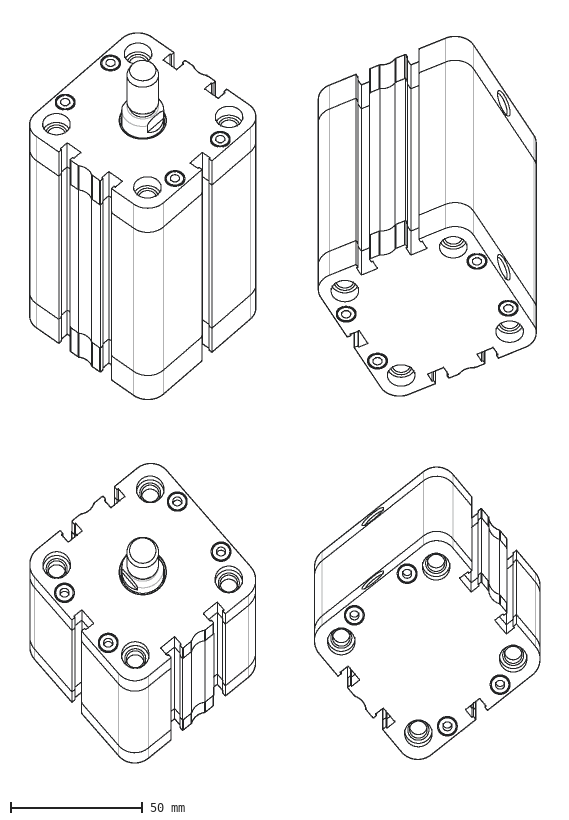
import cadquery as cq
import math

side = 65.5
half_side = side / 2
corner_radius = 8.0
total_height = 145.0
rod_reach = 30.0
cap_height = 14.5
body_height = total_height - rod_reach
barrel_height = body_height - 2 * cap_height

slot_offset = 10.6
slot_mouth = 5.7
slot_lip = 1.6
slot_width = 7.0
slot_depth = 5.5

groove_width = 6.5
groove_depth = 1.0

bevel_width = 0.5
bevel_depth = 0.1

mount_offset = 23.2
mount_counterbore = 10.5
mount_counterbore_depth = 5.4
mount_countersink = 8.0
mount_hole = 6.7
mount_hole_depth = 11.6

screw_x = 28.0
screw_y = 12.9
screw_recess = 7.5
screw_head = 6.7
screw_groove_depth = 0.5
screw_socket = 3.5
screw_socket_depth = 4.4

port_distance = 8.0
port_mouth = 10.5
port_hole = 8.7
port_depth = 8.7
passage_hole = 3.5
passage_drop = 2.0
passage_length = 4.4

seat_mouth = 18.0
seat_diameter = 17.7
seat_depth = 0.5
clearance_diameter = 16.5
clearance_depth = 2.9

rod_diameter = 16.0
shoulder_radius = 2.0
thread_diameter = 12.0
thread_length = 18.8
tip_diameter = 10.0
tip_chamfer_height = 2.6
neck_diameter = 10.0
neck_length = 2.9
neck_cone_diameter = 10.7
neck_cone_height = 0.9
flats_width = 13.0
flats_bottom = 2.5
flats_runout = 1.2

slot_positions = [-slot_offset, slot_offset]
mount_positions = [(x, y) for x in (-mount_offset, mount_offset) for y in (-mount_offset, mount_offset)]
screw_positions = [(x, y) for x in (-screw_x, screw_x) for y in (-screw_y, screw_y)]


def turn(shape, angle):
    """Shape rotated about the Z axis."""
    return shape.rotate((0, 0, 0), (0, 0, 1), angle)


def revolve_about_z(outline):
    """Solid of revolution from (radius, z) points."""
    return cq.Workplane("XZ").polyline(outline).close().revolve(360, (0, 0, 0), (0, 1, 0))


def slot_cutter(height):
    """T-slot that opens in the +Y face."""
    mouth, pocket = slot_mouth / 2, slot_width / 2
    floor, lip = half_side - slot_depth, half_side - slot_lip
    outline = [
        (-mouth, half_side), (-mouth, lip), (-pocket, lip), (-pocket, floor),
        (pocket, floor), (pocket, lip), (mouth, lip), (mouth, half_side),
    ]
    return cq.Workplane("XY").polyline(outline).close().extrude(height)


def groove_cutter(height):
    """Shallow arc groove in the middle of the +Y face."""
    half_width = groove_width / 2
    return (
        cq.Workplane("XY")
        .moveTo(-half_width, half_side)
        .threePointArc((0, half_side - groove_depth), (half_width, half_side))
        .close()
        .extrude(height)
    )


def profile_block(height):
    """Rounded square block with the slots and grooves of the body profile."""
    block = cq.Workplane("XY").box(side, side, height, centered=(True, True, False))
    block = block.edges("|Z").fillet(corner_radius)
    slot = slot_cutter(height)
    groove = groove_cutter(height)
    for face_angle in (0, 180):
        block = block.cut(turn(groove, face_angle))
        for x in slot_positions:
            block = block.cut(turn(slot.translate((x, 0, 0)), face_angle))
    return block.cut(turn(slot, -90))


def bevel_cutter(edge_x, direction):
    """Thin wedge that bevels the +Y face from edge_x over bevel_width."""
    outline = [
        (edge_x, half_side),
        (edge_x + direction * bevel_width, half_side),
        (edge_x, half_side - bevel_depth),
    ]
    return cq.Workplane("XY").polyline(outline).close().extrude(cap_height)


def bevel_lands(cap):
    """Bevel both edges of the lands that lie between the slots and the groove."""
    slot_edge = slot_offset - slot_mouth / 2
    groove_edge = groove_width / 2
    for face_angle in (0, 180):
        for land in (-1, 1):
            cap = cap.cut(turn(bevel_cutter(land * slot_edge, -land), face_angle))
            cap = cap.cut(turn(bevel_cutter(land * groove_edge, land), face_angle))
    return cap


def mount_cutter():
    """Counterbored and countersunk blind hole going down from the cap's outer face."""
    step = cap_height - mount_counterbore_depth
    bottom = cap_height - mount_hole_depth
    sink_depth = (mount_countersink - mount_hole) / 2
    return revolve_about_z([
        (0, cap_height), (mount_counterbore / 2, cap_height), (mount_counterbore / 2, step),
        (mount_countersink / 2, step), (mount_hole / 2, step - sink_depth),
        (mount_hole / 2, bottom), (0, bottom),
    ])


def screw_cutter():
    """Ring groove and socket of one tie screw."""
    top = cq.Workplane("XY").workplane(offset=cap_height)
    ring = top.circle(screw_recess / 2).circle(screw_head / 2).extrude(-screw_groove_depth)
    return ring.add(top.circle(screw_socket / 2).extrude(-screw_socket_depth)).combine()


def port_cutter():
    """Blind air port with a 45 degree countersunk mouth."""
    mouth, hole = port_mouth / 2, port_hole / 2
    outline = [(0, 0), (0, mouth), (mouth - hole, hole), (port_depth, hole), (port_depth, 0)]
    port = cq.Workplane("XY").polyline(outline).close().revolve(360, (0, 0, 0), (1, 0, 0))
    return port.translate((-half_side, 0, cap_height - port_distance))


def make_cap():
    """Cap standing on z = 0 with its outer face at z = cap_height."""
    cap = bevel_lands(profile_block(cap_height))
    for x, y in mount_positions:
        cap = cap.cut(mount_cutter().translate((x, y, 0)))
    for x, y in screw_positions:
        cap = cap.cut(screw_cutter().translate((x, y, 0)))
    return cap.cut(port_cutter())


def make_rear_cap():
    """Plain cap turned over, so that its outer face is at z = 0."""
    return make_cap().mirror("XY").translate((0, 0, cap_height))


def make_barrel():
    """Profile between the two caps."""
    return profile_block(barrel_height).translate((0, 0, cap_height))


def rod_bore_cutter():
    """Through bore for the rod with its clearance and its chamfered seat."""
    seat_chamfer = (seat_mouth - seat_diameter) / 2
    seat_floor = cap_height - seat_depth
    clearance_floor = cap_height - clearance_depth
    return revolve_about_z([
        (0, cap_height), (seat_mouth / 2, cap_height), (seat_diameter / 2, cap_height - seat_chamfer),
        (seat_diameter / 2, seat_floor), (clearance_diameter / 2, seat_floor),
        (clearance_diameter / 2, clearance_floor), (rod_diameter / 2, clearance_floor),
        (rod_diameter / 2, 0), (0, 0),
    ])


def make_front_cap():
    """Cap with the rod bore and the air passage behind its port."""
    passage = (
        cq.Workplane("YZ", origin=(port_depth - half_side, 0, cap_height - port_distance - passage_drop))
        .circle(passage_hole / 2)
        .extrude(passage_length)
    )
    cap = make_cap().cut(passage).cut(rod_bore_cutter())
    return cap.translate((0, 0, body_height - cap_height))


def make_rod():
    """Rod from the front end of the barrel to the top, with a threaded end and two flats."""
    radius = rod_diameter / 2
    rod_start = body_height - cap_height
    thread_end = total_height - thread_length
    shoulder = thread_end - neck_length
    round_middle = shoulder_radius * (1 - math.sqrt(0.5))
    rod = (
        cq.Workplane("XZ")
        .moveTo(0, rod_start)
        .lineTo(radius, rod_start)
        .lineTo(radius, shoulder - shoulder_radius)
        .threePointArc((radius - round_middle, shoulder - round_middle), (radius - shoulder_radius, shoulder))
        .lineTo(neck_diameter / 2, shoulder)
        .lineTo(neck_diameter / 2, thread_end - neck_cone_height)
        .lineTo(neck_cone_diameter / 2, thread_end)
        .lineTo(thread_diameter / 2, thread_end)
        .lineTo(thread_diameter / 2, total_height - tip_chamfer_height)
        .lineTo(tip_diameter / 2, total_height)
        .lineTo(0, total_height)
        .close()
        .revolve(360, (0, 0, 0), (0, 1, 0))
    )
    flat_x = flats_width / 2
    flat_z = body_height + flats_bottom
    flat = (
        cq.Workplane("XZ")
        .polyline([(flat_x, shoulder), (flat_x, flat_z), (radius, flat_z - flats_runout), (radius, shoulder)])
        .close()
        .extrude(radius, both=True)
    )
    return rod.cut(flat).cut(turn(flat, 180))


rear_cap = make_rear_cap()
barrel = make_barrel()
front_cap = make_front_cap()
rod = make_rod()

result = cq.Compound.makeCompound([rear_cap.val(), barrel.val(), front_cap.val(), rod.val()])